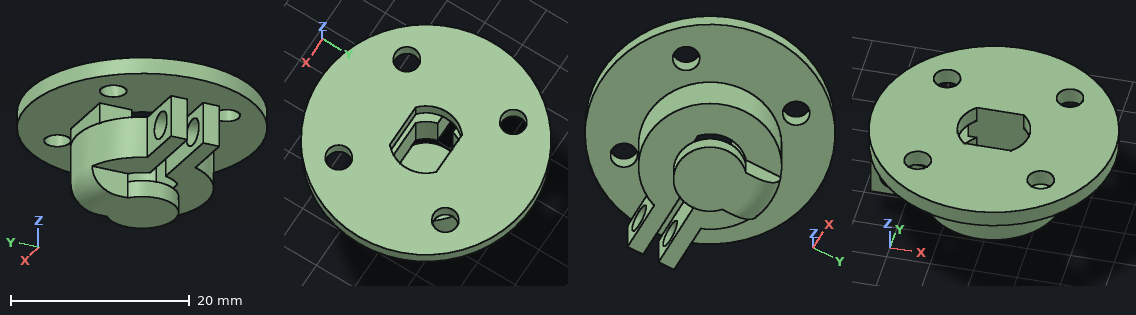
import cadquery as cq

flange_thickness = 2.0
upper_gap = 2.5
clamp_height = 5.0
lower_gap = 1.0
base_thickness = 2.0

base_top = base_thickness
clamp_bottom = base_top + lower_gap
clamp_top = clamp_bottom + clamp_height
flange_bottom = clamp_top + upper_gap

flange_diameter = 28
mount_hole_diameter = 3.0
mount_hole_pitch = 14.15

bore_radius = 4.1
flat_offset = 3.08
half_flat_width = (bore_radius**2 - flat_offset**2) ** 0.5

clamp_radius = 8.0
ear_end = 13.47
ears_half_width = 3.0
slit_width = 1.95
ear_hole_diameter = 3.2
ear_hole_x = -10.8

post_width = 7.4
post_back = 7.08


def bore_cutter(bottom, height):
    """Round bar with flats facing +Y and -Y."""
    bar = cq.Workplane("XY").workplane(offset=bottom).circle(bore_radius).extrude(height)
    flats = (
        cq.Workplane("XY").workplane(offset=bottom)
        .rect(2 * bore_radius, 2 * flat_offset).extrude(height)
    )
    return bar.intersect(flats)


def make_flange():
    plate = (
        cq.Workplane("XY").workplane(offset=flange_bottom)
        .circle(flange_diameter / 2).extrude(flange_thickness)
    )
    holes = (
        cq.Workplane("XY").workplane(offset=flange_bottom)
        .rect(mount_hole_pitch, mount_hole_pitch, forConstruction=True)
        .vertices().circle(mount_hole_diameter / 2).extrude(flange_thickness)
    )
    return plate.cut(holes).cut(bore_cutter(flange_bottom, flange_thickness))


def make_clamp():
    plane = cq.Workplane("XY").workplane(offset=clamp_bottom)
    ring = plane.circle(clamp_radius).extrude(clamp_height)
    ears = plane.center(-ear_end / 2, 0).rect(ear_end, 2 * ears_half_width).extrude(clamp_height)
    slit = plane.center(-ear_end / 2, 0).rect(ear_end, slit_width).extrude(clamp_height)
    pin_hole = (
        cq.Workplane("XZ").center(ear_hole_x, clamp_bottom + clamp_height / 2)
        .circle(ear_hole_diameter / 2).extrude(ears_half_width, both=True)
    )
    clamp = ring.union(ears).cut(bore_cutter(clamp_bottom, clamp_height))
    return clamp.cut(slit).cut(pin_hole)


def make_post():
    return (
        cq.Workplane("XY").workplane(offset=clamp_top)
        .center(0, (flat_offset + post_back) / 2)
        .rect(post_width, post_back - flat_offset).extrude(upper_gap)
    )


def make_base():
    disc = cq.Workplane("XY").circle(bore_radius).extrude(base_thickness)
    rounding = clamp_bottom
    bowl = (
        cq.Workplane("XZ").lineTo(clamp_radius - rounding, 0)
        .radiusArc((clamp_radius, clamp_bottom), -rounding)
        .lineTo(0, clamp_bottom).close()
        .revolve(360, (0, 0, 0), (0, 1, 0))
    )
    slice_box = (
        cq.Workplane("XY").center(0, (flat_offset + clamp_radius) / 2)
        .rect(2 * half_flat_width, clamp_radius - flat_offset).extrude(clamp_bottom)
    )
    return disc.union(bowl.intersect(slice_box))


result = make_flange().union(make_post()).union(make_clamp()).union(make_base())